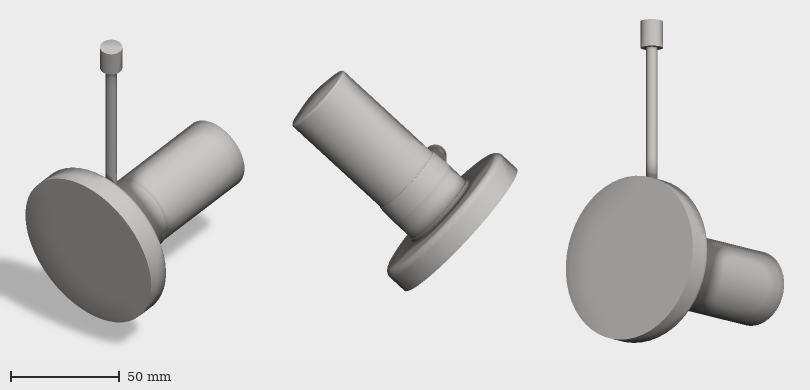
import cadquery as cq
import math

base_diameter = 76.2
base_radius = base_diameter / 2
base_thickness = 12.4
base_edge_radius = 3.2

flange_radius = 19.1
flange_end = 14.1
collar_radius = 18.2
collar_end = 23.3
band_radius = 18.3
band_end = 24.7
taper_end_radius = 17.7
taper_end = 34.2
taper_bulge = 0.2
barrel_radius = 17.3
barrel_edge_radius = 1.4
dome_start = 90.3
dome_rim_radius = 16.7
body_length = 92.5

overall_height = 151.5
lever_y = 16.0
lever_radius = 2.5
knob_radius = 5.2
knob_height = 12.4
lever_top = overall_height - base_radius
knob_bottom = lever_top - knob_height


def make_base():
    disc = cq.Workplane("XZ").circle(base_radius).extrude(-base_thickness)
    return disc.faces(">Y").edges().fillet(base_edge_radius)


def make_body():
    taper_middle = (
        (band_radius + taper_end_radius) / 2 + taper_bulge,
        (band_end + taper_end) / 2,
    )
    barrel_end = dome_start - barrel_edge_radius
    rim_middle = (
        dome_rim_radius + (barrel_radius - dome_rim_radius) * math.sin(math.pi / 4),
        barrel_end + barrel_edge_radius * math.sin(math.pi / 4),
    )
    dome_rise = body_length - dome_start
    dome_radius = (dome_rim_radius**2 + dome_rise**2) / (2 * dome_rise)
    dome_center = body_length - dome_radius
    dome_middle_x = dome_rim_radius / 2
    dome_middle_y = dome_center + math.sqrt(dome_radius**2 - dome_middle_x**2)
    profile = (
        cq.Workplane("XY")
        .lineTo(flange_radius, 0)
        .lineTo(flange_radius, flange_end)
        .lineTo(collar_radius, flange_end)
        .lineTo(collar_radius, collar_end)
        .lineTo(band_radius, band_end)
        .threePointArc(taper_middle, (taper_end_radius, taper_end))
        .lineTo(barrel_radius, taper_end)
        .lineTo(barrel_radius, barrel_end)
        .threePointArc(rim_middle, (dome_rim_radius, dome_start))
        .threePointArc((dome_middle_x, dome_middle_y), (0, body_length))
        .close()
    )
    return profile.revolve(360, (0, 0), (0, 1))


def make_lever():
    plane = cq.Workplane("XY").center(0, lever_y)
    stem = plane.circle(lever_radius).extrude(lever_top)
    knob = plane.workplane(offset=knob_bottom).circle(knob_radius).extrude(knob_height)
    return stem.union(knob)


result = make_base().union(make_body()).union(make_lever())